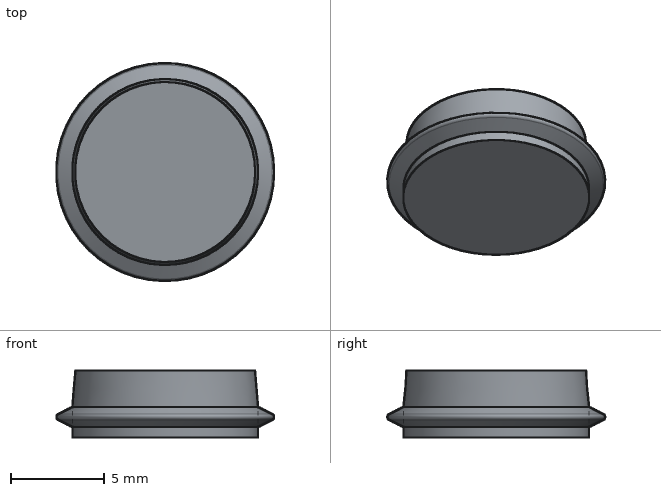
import cadquery as cq

flange_diameter = 11.7
core_diameter = 9.98
top_diameter = 9.65
total_height = 3.6
flange_bottom = 0.56
flange_top = 1.65
rim_bottom = 0.95
rim_top = 1.26
rim_bulge = 0.1

flange_radius = flange_diameter / 2
core_radius = core_diameter / 2
top_radius = top_diameter / 2
rim_radius = flange_radius - rim_bulge
rim_middle = (rim_bottom + rim_top) / 2


def make_plug():
    """Solid plug: a straight cylinder that tapers above the flange."""
    return (
        cq.Workplane("XZ")
        .lineTo(core_radius, 0)
        .lineTo(core_radius, flange_top)
        .lineTo(top_radius, total_height)
        .lineTo(0, total_height)
        .close()
        .revolve(360, (0, 0), (0, 1))
    )


def make_flange_ring():
    """Ring around the plug: two cones that meet in a rounded rim."""
    return (
        cq.Workplane("XZ")
        .moveTo(core_radius, flange_bottom)
        .lineTo(rim_radius, rim_bottom)
        .threePointArc((flange_radius, rim_middle), (rim_radius, rim_top))
        .lineTo(core_radius, flange_top)
        .close()
        .revolve(360, (0, 0), (0, 1))
    )


plug = make_plug()
flange_ring = make_flange_ring()

result = cq.Compound.makeCompound([plug.val(), flange_ring.val()])